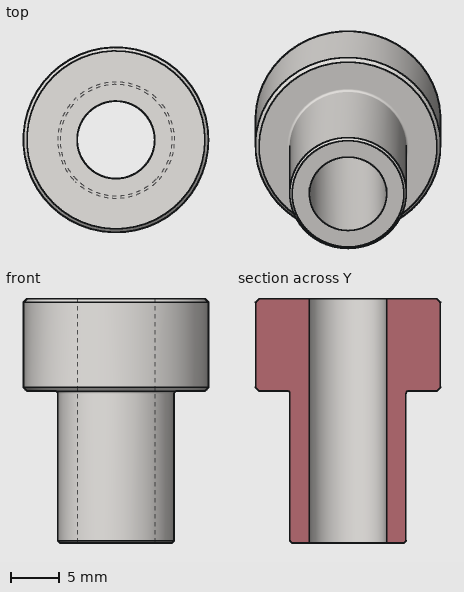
import cadquery as cq

head_diameter = 19.05
shank_diameter = 11.99
bore_diameter = 7.95
total_length = 25.15
head_height = 9.525
head_chamfer = 0.38
shank_end_chamfer = 0.25
neck_fillet_radius = 0.25

shank_length = total_length - head_height


def make_head():
    """Head disc above the shank, chamfered on both outer rims."""
    head = cq.Workplane("XY").workplane(offset=shank_length)
    head = head.circle(head_diameter / 2).extrude(head_height)
    return head.edges("%CIRCLE").chamfer(head_chamfer)


def make_shank():
    """Shank standing on Z = 0, chamfered at its free end."""
    shank = cq.Workplane("XY").circle(shank_diameter / 2).extrude(shank_length)
    return shank.faces("<Z").edges().chamfer(shank_end_chamfer)


def make_neck_fillet():
    """Disc with a concave quarter-round that blends the shank into the underside of the head."""
    shank_radius = shank_diameter / 2
    fillet_start = shank_length - neck_fillet_radius
    profile = (
        cq.Workplane("XZ")
        .moveTo(0, fillet_start)
        .lineTo(shank_radius, fillet_start)
        .radiusArc((shank_radius + neck_fillet_radius, shank_length), neck_fillet_radius)
        .lineTo(0, shank_length)
        .close()
    )
    return profile.revolve(360, (0, 0), (0, 1))


def cut_bore(body):
    """Cut the plain bore through the full length."""
    bore = cq.Workplane("XY").circle(bore_diameter / 2).extrude(total_length)
    return body.cut(bore)


body = make_head().union(make_shank()).union(make_neck_fillet())
result = cut_bore(body)